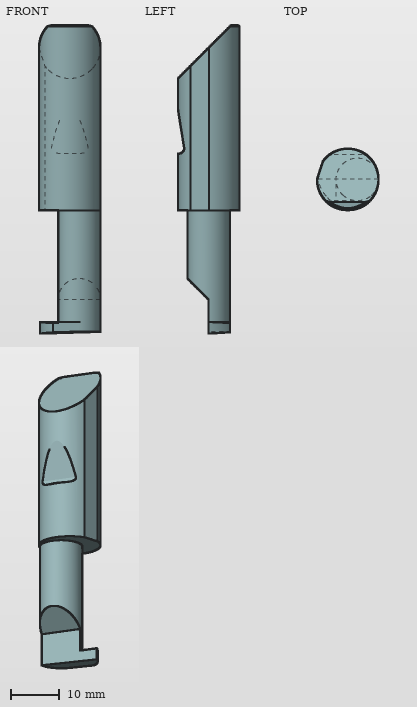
import cadquery as cq
import math

total_length = 63.5
shank_radius = 6.35
shank_bottom = 25.4

end_chamfer_width = 0.45
end_chamfer_height = 0.25
bevel_low_z = 52.5
flat_end_y = 3.75
notch_bottom = 37.1
notch_top = 46.1
notch_depth = 1.3
notch_corner_radius = 1.1

neck_radius = 4.4
neck_x = shank_radius - neck_radius
rake_y = 0.05
rake_end_z = 7.05

head_left = -6.15
head_corner_x = -3.5
head_top = 2.4
nose_bulge = 0.45
relief_step_x = neck_x - neck_radius
bottom_slope_x = 0.03
side_relief = 0.05

margin = 3.2


def side_prism(outline):
    """Extrude a closed YZ outline across the full width in X."""
    return outline.close().extrude(2 * shank_radius + 2 * margin).translate((-shank_radius - margin, 0, 0))


def make_shank():
    shank = cq.Workplane("XY").workplane(offset=shank_bottom).circle(shank_radius)
    shank = shank.extrude(total_length - shank_bottom)
    shank = shank.faces(">Z").chamfer(end_chamfer_height, end_chamfer_width)

    flat_end_x = -math.sqrt(shank_radius**2 - flat_end_y**2)
    flat = (
        cq.Workplane("XY").workplane(offset=shank_bottom)
        .moveTo(-shank_radius, 0)
        .lineTo(flat_end_x, flat_end_y)
        .lineTo(-shank_radius - margin, flat_end_y)
        .lineTo(-shank_radius - margin, 0)
        .close()
        .extrude(total_length)
    )

    bevel_run = total_length + margin - bevel_low_z
    bevel = side_prism(
        cq.Workplane("YZ")
        .moveTo(shank_radius + margin, bevel_low_z - margin)
        .lineTo(shank_radius - bevel_run, total_length + margin)
        .lineTo(shank_radius + margin, total_length + margin)
    )

    notch_floor = shank_radius - notch_depth
    arc_drop = notch_corner_radius * math.sqrt(0.5)
    arc_center_y = notch_floor + notch_corner_radius
    arc_center_z = notch_bottom + notch_corner_radius
    notch = side_prism(
        cq.Workplane("YZ")
        .moveTo(shank_radius, notch_top)
        .lineTo(notch_floor, arc_center_z)
        .threePointArc(
            (arc_center_y - arc_drop, arc_center_z - arc_drop),
            (arc_center_y, notch_bottom),
        )
        .lineTo(shank_radius + margin, notch_bottom)
        .lineTo(shank_radius + margin, notch_top)
    )
    return shank.cut(flat).cut(bevel).cut(notch)


def make_neck():
    neck = cq.Workplane("XY").center(neck_x, 0).circle(neck_radius).extrude(shank_bottom)
    run_out = neck_radius + margin
    rake = side_prism(
        cq.Workplane("YZ")
        .moveTo(rake_y, -margin)
        .lineTo(rake_y, rake_end_z)
        .lineTo(rake_y + run_out, rake_end_z + run_out)
        .lineTo(rake_y + run_out, -margin)
    )
    return neck.cut(rake)


def make_head():
    head = (
        cq.Workplane("XY")
        .moveTo(neck_x, rake_y)
        .lineTo(head_left, rake_y)
        .sagittaArc((head_corner_x, -neck_radius), -nose_bulge)
        .lineTo(neck_x, -neck_radius)
        .close()
        .extrude(head_top)
    )
    top_relief = (
        cq.Workplane("YZ").workplane(offset=relief_step_x)
        .moveTo(rake_y, head_top)
        .lineTo(-shank_radius, head_top - side_relief * (rake_y + shank_radius))
        .lineTo(-shank_radius, head_top)
        .close()
        .extrude(-shank_radius)
    )
    return head.cut(top_relief)


def make_bottom_relief():
    """Material below the plane that rises toward +X and -Y from the cutting tip."""
    normal = cq.Vector(-bottom_slope_x, side_relief, 1)
    plane = cq.Plane(origin=(head_left, rake_y, 0), xDir=(1, 0, bottom_slope_x), normal=normal)
    return cq.Workplane(plane).rect(total_length, total_length).extrude(-margin)


result = make_shank().union(make_neck()).union(make_head()).cut(make_bottom_relief())